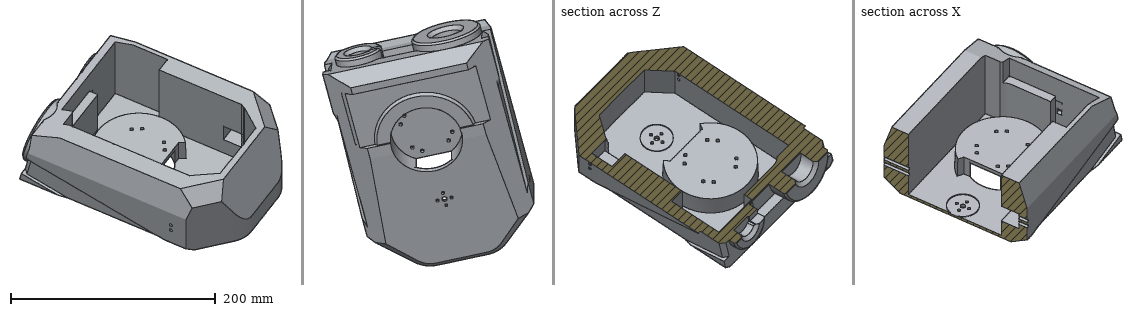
import cadquery as cq
import math

HEIGHT = 88.0
HALF_WIDTH = 167.11 / 2
REAR_X = 237.87
FRONT_TILT = 12.0
FRONT_X, FRONT_Z = 7.6, 13.0
FRONT_TOP_Z = 63.7
BROW_Z = 78.6
BROW_END_X = 48.3
FOOT_X = 20.6
BELLY_X = 102.0
BELLY_RISE = 3.0
TAIL_Z = 34.1
TAIL_TOP_X = 214.6
TILT_SIN = math.sin(math.radians(FRONT_TILT))
TILT_COS = math.cos(math.radians(FRONT_TILT))
FRONT_TOP_X = FRONT_X + (FRONT_TOP_Z - FRONT_Z) * TILT_SIN / TILT_COS

RIM_HALF_WIDTH = 74.2
SIDE_TOP_Z = 58.3
SIDE_LOW_Z = 16.6
FOOT_HALF_WIDTH = 58.3

DIAGONAL_SLOPE = 1.06
LEFT_DIAGONAL_X = 192.8
RIGHT_DIAGONAL_X = 196.0
NOSE_RADIUS = 30.0
NOSE_CHAMFER_Z = 12.4
DIAGONAL_TOP_Z = 73.1

FLOOR_Z = 8.0
CAVITY_FRONT_X = 28.1
CAVITY_REAR_X = 207.8
PANEL_RELIEF = 0.3
LEDGE_X = 37.4
LEDGE_Z = 58.0
LEDGE_LEFT_Y = 19.1
LENS_WALL_Y = -34.9
LEDGE_CURVE = ((LEDGE_X, -26.5), (38.1, -31.0))
LEDGE_END_X = 39.8
STEP_X = 87.1
FRONT_LEFT_Y = 69.5
LEFT_WALL_Y = 53.3
LEFT_WALL_END_X = 180.1
CORNER_STRIP = ((183.4, 51.2), (184.7, 50.9))
LEFT_DIAGONAL_END_Y = 32.9
RIGHT_WALL_Y = -54.6
RIGHT_WALL_X = (41.1, 183.3)
RIGHT_DIAGONAL_END_Y = -36.9
LENS_WALL_BEVEL_Y = -37.3
RELIEF_LEFT_Y = (17.9, 11.7)
RELIEF_RIGHT_Y = (-14.5, -20.0)

TABLE_X, TABLE_Y = 94.8, 0.0
DRUM_RADIUS_LOW = 46.8
DRUM_RADIUS_TOP = 46.0
DRUM_TOP_Z = 30.5
DRUM_CAP = 4.5
FLAT_X = 125.3
FLAT_HALF_WIDTH = 25.0
FLAT_TIP = (131.5, 28.7)
BORE_RADIUS = 35.2
TABLE_HOLE_RADIUS = 25.6
TABLE_HOLE_DIAMETER = 3.4
TABLE_HOLE_ANGLES = (22.8, 46.0)

CHANNEL_X = (28.2, 89.6)
CHANNEL_DEPTH = 4.9
DISC_RADIUS_TOP = 50.9
DISC_RADIUS_LOW = 48.5
DISC_BOTTOM_Z = 2.1

PAD_X, PAD_Y = 163.6, -1.5
PAD_RADIUS = 16.2
PAD_DEPTH = 1.0
PAD_CENTRE_DIAMETER = 5.0
PAD_HOLE_DIAMETER = 2.9
PAD_HOLE_RADIUS = 7.1

SIDE_HOLE_X = 179.1
SIDE_HOLE_Z = (34.4, 41.6)
SIDE_HOLE_DIAMETER = 3.2
NUT_POCKET_X = (159.5, 184.6)
NUT_POCKET_Y = (LEFT_WALL_Y, LEFT_WALL_Y + 20.0)
NUT_POCKET_Z = (27.0, 46.0)

FLANGE_HEIGHT = 8.2
FLANGE_CHAMFER = 2.0
FLANGE_ROOT = 13.0
CONE_DEPTH = 3.8
BIG_Y, BIG_AXIS_Z = -40.4, 46.7
BIG_RADIUS, BIG_MOUTH, BIG_BORE, BIG_DEPTH = 34.43, 18.3, 14.4, 19.5
SMALL_Y, SMALL_AXIS_Z = 47.8, 44.5
SMALL_RADIUS, SMALL_MOUTH, SMALL_BORE, SMALL_DEPTH = 23.4, 14.0, 10.4, 12.0
KEY_LENGTH, KEY_WIDTH = 21.4, 13.0
SLOT_WIDTH = 6.1
SLOT_DROP = 2.3
SLOT_DEPTH = 10.3
GROOVE_Z = (30.2, 54.3)
GROOVE_DEPTH = 11.4
CATCH_Y = (20.3, 26.0)
CATCH_DEPTH = 10.0
SIDE_POCKET_Z = (25.5, 49.8)
SIDE_POCKET_DEPTH = 3.2
SIDE_POCKET_NOTCH = 4.7
SIDE_POCKET_LENGTH = 190.0

MARGIN = 40.0


def front_plane(z):
    """Plane on the leaning front face at height z: local x is -Y, local y climbs the face."""
    x = FRONT_X + (z - FRONT_Z) * TILT_SIN / TILT_COS
    return cq.Plane(origin=(x, 0, z), xDir=(0, -1, 0), normal=(-TILT_COS, 0, TILT_SIN))


def box(x_range, y_range, z_range):
    size = [b - a for a, b in (x_range, y_range, z_range)]
    corner = (x_range[0], y_range[0], z_range[0])
    return cq.Workplane("XY").box(*size, centered=False).translate(corner)


def front_block(y_range, z_range, top, bottom):
    """Block square to the front face between two offsets from that face (outward positive)."""
    height = (z_range[1] - z_range[0]) / TILT_COS
    width = y_range[1] - y_range[0]
    return (
        cq.Workplane(front_plane(z_range[0]))
        .workplane(offset=bottom)
        .center(-y_range[1], 0)
        .rect(width, height, centered=False)
        .extrude(top - bottom)
    )


def plan_outline(z):
    left_y = HALF_WIDTH - (REAR_X - LEFT_DIAGONAL_X) * DIAGONAL_SLOPE
    right_y = -HALF_WIDTH + (REAR_X - RIGHT_DIAGONAL_X) * DIAGONAL_SLOPE
    points = [
        (-MARGIN, -HALF_WIDTH),
        (RIGHT_DIAGONAL_X, -HALF_WIDTH),
        (REAR_X, right_y),
        (REAR_X, left_y),
        (LEFT_DIAGONAL_X, HALF_WIDTH),
        (-MARGIN, HALF_WIDTH),
    ]
    return cq.Workplane("XY").workplane(offset=z).polyline(points).close()


def plan_body():
    upper = plan_outline(NOSE_CHAMFER_Z).extrude(HEIGHT - NOSE_CHAMFER_Z)
    upper = upper.edges("|Z and >X").fillet(NOSE_RADIUS)
    rounded = upper.faces("<Z").wires().toPending().workplane()
    lower = rounded.extrude(NOSE_CHAMFER_Z, taper=45, combine=False)
    return upper.union(lower)


def length_profile():
    rise = (REAR_X - BELLY_X) * math.tan(math.radians(BELLY_RISE))
    points = [
        (FOOT_X, 0),
        (BELLY_X, 0),
        (REAR_X, rise),
        (REAR_X, TAIL_Z),
        (TAIL_TOP_X, HEIGHT),
        (BROW_END_X, HEIGHT),
        (FRONT_TOP_X, BROW_Z),
        (FRONT_TOP_X, FRONT_TOP_Z),
        (FRONT_X, FRONT_Z),
    ]
    return cq.Workplane("XZ").polyline(points).close().extrude(HALF_WIDTH, both=True)


def width_profile():
    half = [
        (FOOT_HALF_WIDTH, 0),
        (HALF_WIDTH, SIDE_LOW_Z),
        (HALF_WIDTH, SIDE_TOP_Z),
        (RIM_HALF_WIDTH, HEIGHT),
    ]
    mirrored = [(-y, z) for y, z in reversed(half)]
    return cq.Workplane("YZ").polyline(half + mirrored).close().extrude(REAR_X)


def diagonal_bevel(start_x, side):
    """45 degree cutter along the top of one diagonal wall; side is +1 for +Y."""
    length = math.hypot(1, DIAGONAL_SLOPE)
    outward = cq.Vector(DIAGONAL_SLOPE / length, side / length, 0)
    plane = cq.Plane(
        origin=(start_x, side * HALF_WIDTH, DIAGONAL_TOP_Z),
        xDir=outward,
        normal=outward.cross(cq.Vector(0, 0, 1)),
    )
    triangle = [(0, 0), (MARGIN, 0), (MARGIN, MARGIN), (-MARGIN, MARGIN)]
    return cq.Workplane(plane).polyline(triangle).close().extrude(HALF_WIDTH, both=True)


def outer_body():
    body = plan_body().intersect(length_profile()).intersect(width_profile())
    body = body.cut(diagonal_bevel(LEFT_DIAGONAL_X, 1))
    return body.cut(diagonal_bevel(RIGHT_DIAGONAL_X, -1))


def cavity():
    relief_x = CAVITY_REAR_X + PANEL_RELIEF
    points = [
        (CAVITY_FRONT_X, FRONT_LEFT_Y),
        (STEP_X, FRONT_LEFT_Y),
        (STEP_X, LEFT_WALL_Y),
        (LEFT_WALL_END_X, LEFT_WALL_Y),
        *CORNER_STRIP,
        (CAVITY_REAR_X, LEFT_DIAGONAL_END_Y),
        (CAVITY_REAR_X, RELIEF_LEFT_Y[0]),
        (relief_x, RELIEF_LEFT_Y[1]),
        (relief_x, RELIEF_RIGHT_Y[0]),
        (CAVITY_REAR_X, RELIEF_RIGHT_Y[1]),
        (CAVITY_REAR_X, RIGHT_DIAGONAL_END_Y),
        (RIGHT_WALL_X[1], RIGHT_WALL_Y),
        (RIGHT_WALL_X[0], RIGHT_WALL_Y),
        (RIGHT_WALL_X[0], LENS_WALL_BEVEL_Y),
        (LEDGE_END_X, LENS_WALL_Y),
        (CAVITY_FRONT_X, LENS_WALL_Y),
    ]
    hollow = cq.Workplane("XY").workplane(offset=FLOOR_Z).polyline(points).close().extrude(HEIGHT)
    ledge = (
        cq.Workplane("XY")
        .moveTo(CAVITY_FRONT_X, LEDGE_LEFT_Y)
        .lineTo(LEDGE_X, LEDGE_LEFT_Y)
        .lineTo(*LEDGE_CURVE[0])
        .threePointArc(LEDGE_CURVE[1], (LEDGE_END_X, LENS_WALL_Y))
        .lineTo(CAVITY_FRONT_X, LENS_WALL_Y)
        .close()
        .extrude(LEDGE_Z)
    )
    return hollow.cut(ledge)


def cone_between(z_low, radius_low, z_high, radius_high):
    profile = [(0, z_low), (radius_low, z_low), (radius_high, z_high), (0, z_high)]
    cone = cq.Workplane("XZ").polyline(profile).close().revolve(360, (0, 0), (0, 1))
    return cone.translate((TABLE_X, TABLE_Y, 0))


def turntable_drum():
    tip_x, tip_y = FLAT_TIP
    rear_cut = (
        cq.Workplane("XY")
        .polyline([
            (FLAT_X, -FLAT_HALF_WIDTH),
            (tip_x, -tip_y),
            (tip_x + MARGIN, -tip_y),
            (tip_x + MARGIN, tip_y),
            (tip_x, tip_y),
            (FLAT_X, FLAT_HALF_WIDTH),
        ])
        .close()
        .extrude(HEIGHT)
    )
    return cone_between(FLOOR_Z, DRUM_RADIUS_LOW, DRUM_TOP_Z, DRUM_RADIUS_TOP).cut(rear_cut)


def drum_bore():
    return cone_between(-MARGIN, BORE_RADIUS, DRUM_TOP_Z - DRUM_CAP, BORE_RADIUS)


def floor_holes():
    def drill(points, diameter):
        return cq.Workplane("XY").pushPoints(points).circle(diameter / 2).extrude(HEIGHT / 2)

    table_points = []
    for first in TABLE_HOLE_ANGLES:
        for quarter in range(4):
            angle = math.radians(first + 90 * quarter)
            table_points.append((
                TABLE_X + TABLE_HOLE_RADIUS * math.cos(angle),
                TABLE_Y + TABLE_HOLE_RADIUS * math.sin(angle),
            ))
    r = PAD_HOLE_RADIUS
    pad_points = [(PAD_X + dx, PAD_Y + dy) for dx, dy in ((r, 0), (0, r), (-r, 0), (0, -r))]
    holes = drill(table_points, TABLE_HOLE_DIAMETER)
    holes = holes.union(drill(pad_points, PAD_HOLE_DIAMETER))
    return holes.union(drill([(PAD_X, PAD_Y)], PAD_CENTRE_DIAMETER))


def pad_recess():
    bottom = cq.Workplane("XY").workplane(offset=FLOOR_Z - PAD_DEPTH)
    return bottom.center(PAD_X, PAD_Y).circle(PAD_RADIUS).extrude(PAD_DEPTH)


def under_channel():
    channel = box(CHANNEL_X, (-HALF_WIDTH, HALF_WIDTH), (0, CHANNEL_DEPTH))
    return channel.cut(cone_between(DISC_BOTTOM_Z, DISC_RADIUS_LOW, CHANNEL_DEPTH, DISC_RADIUS_TOP))


def side_holes():
    points = [(SIDE_HOLE_X, z) for z in SIDE_HOLE_Z]
    drill = cq.Workplane("XZ").pushPoints(points).circle(SIDE_HOLE_DIAMETER / 2)
    return drill.extrude(HALF_WIDTH, both=True)


def front_groove():
    return front_block((BIG_Y, SMALL_Y), GROOVE_Z, MARGIN, -GROOVE_DEPTH)


def lens_barrel(y, z, radius):
    root = cq.Workplane(front_plane(z)).workplane(offset=-FLANGE_ROOT).center(-y, 0)
    barrel = root.circle(radius).extrude(FLANGE_ROOT + FLANGE_HEIGHT)
    return barrel.faces("<X").chamfer(FLANGE_CHAMFER)


def lens_bore(y, z, mouth, bore, depth):
    profile = [
        (0, FLANGE_HEIGHT),
        (mouth, FLANGE_HEIGHT),
        (bore, FLANGE_HEIGHT - CONE_DEPTH),
        (bore, FLANGE_HEIGHT - depth),
        (0, FLANGE_HEIGHT - depth),
    ]
    plane = front_plane(z)
    centre = plane.toWorldCoords((-y, 0, 0))
    section = cq.Plane(origin=centre, xDir=(0, -1, 0), normal=plane.yDir * -1)
    return cq.Workplane(section).polyline(profile).close().revolve(360, (0, 0), (0, 1))


def small_lens_slots():
    plane = front_plane(SMALL_AXIS_Z)
    key = (
        cq.Workplane(plane)
        .workplane(offset=FLANGE_HEIGHT - SMALL_DEPTH)
        .center(-SMALL_Y, 0)
        .rect(KEY_LENGTH, KEY_WIDTH)
        .extrude(SMALL_DEPTH - CONE_DEPTH)
    )
    slot_middle = SMALL_AXIS_Z - SLOT_DROP * TILT_COS
    half = SLOT_WIDTH / 2 * TILT_COS
    slot_z = (slot_middle - half, slot_middle + half)
    slot_end_y = SMALL_Y - SMALL_RADIUS
    slot = front_block((slot_end_y, SMALL_Y), slot_z, FLANGE_HEIGHT, FLANGE_HEIGHT - SLOT_DEPTH)
    catch = front_block(CATCH_Y, slot_z, -GROOVE_DEPTH, -GROOVE_DEPTH - CATCH_DEPTH)
    return key.union(slot).union(catch)


def side_pocket(side):
    """Slot along one side wall, square to the front face, with a bevelled front corner."""
    floor_y = HALF_WIDTH - SIDE_POCKET_DEPTH
    height = (SIDE_POCKET_Z[1] - SIDE_POCKET_Z[0]) / TILT_COS
    plane = front_plane(SIDE_POCKET_Z[0])
    section = cq.Plane(origin=plane.origin, xDir=(0, side, 0), normal=plane.yDir)
    inward = -side
    points = [
        (floor_y - SIDE_POCKET_NOTCH, 0),
        (floor_y, inward * SIDE_POCKET_NOTCH),
        (floor_y, inward * SIDE_POCKET_LENGTH),
        (HALF_WIDTH + MARGIN, inward * SIDE_POCKET_LENGTH),
        (HALF_WIDTH + MARGIN, 0),
    ]
    return cq.Workplane(section).polyline(points).close().extrude(height)


body = outer_body().cut(front_groove())
body = body.union(lens_barrel(BIG_Y, BIG_AXIS_Z, BIG_RADIUS))
body = body.union(lens_barrel(SMALL_Y, SMALL_AXIS_Z, SMALL_RADIUS))
body = body.cut(lens_bore(BIG_Y, BIG_AXIS_Z, BIG_MOUTH, BIG_BORE, BIG_DEPTH))
body = body.cut(lens_bore(SMALL_Y, SMALL_AXIS_Z, SMALL_MOUTH, SMALL_BORE, SMALL_DEPTH))
body = body.cut(small_lens_slots())
for side in (1, -1):
    body = body.cut(side_pocket(side))
body = body.cut(cavity())
body = body.union(turntable_drum())
body = body.cut(under_channel())
body = body.cut(drum_bore())
body = body.cut(pad_recess())
body = body.cut(floor_holes())
body = body.cut(side_holes())
result = body.cut(box(NUT_POCKET_X, NUT_POCKET_Y, NUT_POCKET_Z))